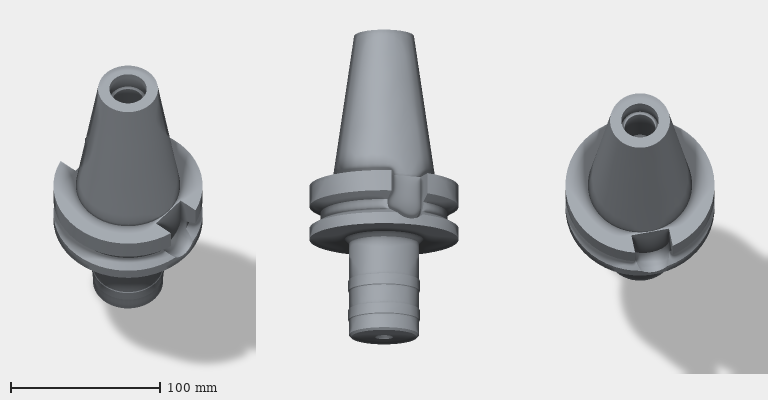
import cadquery as cq
import math


gauge_diameter = 69.85
taper_length = 101.8
taper_ratio = 7 / 24
gauge_radius = gauge_diameter / 2
taper_tip_radius = gauge_radius - taper_length * taper_ratio / 2

flange_radius = 100 / 2
flange_top = -1.5
flange_bottom = -38.0
groove_floor_radius = 85 / 2
groove_center = -22.9
groove_mouth_width = 15.0
groove_wall_angle = 30
groove_depth = flange_radius - groove_floor_radius
groove_wall_rise = groove_depth * math.tan(math.radians(groove_wall_angle))
groove_floor_width = groove_mouth_width - 2 * groove_wall_rise

slot_width = 25.7
slot_floor_distance = 35.3
slot_bottom = -34.0

nose_radius = 47.0 / 2
nose_bottom = -105.0
nose_chamfer = 1.5
collar_height = 3.0
collar_radius = nose_radius + collar_height

band_radius = 48.0 / 2
band_height = 8.0
band_bevel = band_radius - nose_radius
band_tops = (-66.0, -86.0)

through_diameter = 12.0
thread_diameter = 20.75
thread_chamfer = 0.15
thread_depth = 45.0
counterbore_diameter = 25.0
counterbore_depth = 13.0


def revolve_profile(points):
    """Revolve a closed outline of (radius, height) points about the Z axis."""
    return cq.Workplane("XZ").polyline(points).close().revolve(360, (0, 0), (0, 1))


def make_turned_body():
    """Revolve the half profile of shank, grooved flange and nose about Z."""
    groove_mouth_half = groove_mouth_width / 2
    groove_floor_half = groove_floor_width / 2
    profile = [
        (0, taper_length),
        (taper_tip_radius, taper_length),
        (gauge_radius, 0),
        (gauge_radius, flange_top),
        (flange_radius, flange_top),
        (flange_radius, groove_center + groove_mouth_half),
        (groove_floor_radius, groove_center + groove_floor_half),
        (groove_floor_radius, groove_center - groove_floor_half),
        (flange_radius, groove_center - groove_mouth_half),
        (flange_radius, flange_bottom),
        (collar_radius, flange_bottom),
        (nose_radius, flange_bottom - collar_height),
        (nose_radius, nose_bottom + nose_chamfer),
        (nose_radius - nose_chamfer, nose_bottom),
        (0, nose_bottom),
    ]
    return revolve_profile(profile)


def make_band(top):
    """Solid bevelled disc that stands slightly proud of the nose."""
    bottom = top - band_height
    profile = [
        (0, top),
        (nose_radius, top),
        (band_radius, top - band_bevel),
        (band_radius, bottom + band_bevel),
        (nose_radius, bottom),
        (0, bottom),
    ]
    return revolve_profile(profile)


def make_drive_slot(side):
    """Round-ended slot cutter, open at the flange top and rim; side is +1 or -1 along X."""
    slot_radius = slot_width / 2
    arc_center = slot_bottom + slot_radius
    return (
        cq.Workplane("YZ")
        .workplane(offset=side * slot_floor_distance)
        .moveTo(-slot_radius, flange_top)
        .lineTo(-slot_radius, arc_center)
        .threePointArc((0, slot_bottom), (slot_radius, arc_center))
        .lineTo(slot_radius, flange_top)
        .close()
        .extrude(side * flange_radius)
    )


def make_bore():
    """Stepped cutter for the counterbore, chamfered thread hole and through hole."""
    counterbore_floor = taper_length - counterbore_depth
    thread_floor = taper_length - thread_depth
    thread_radius = thread_diameter / 2
    profile = [
        (0, taper_length),
        (counterbore_diameter / 2, taper_length),
        (counterbore_diameter / 2, counterbore_floor),
        (thread_radius + thread_chamfer, counterbore_floor),
        (thread_radius, counterbore_floor - thread_chamfer),
        (thread_radius, thread_floor),
        (through_diameter / 2, thread_floor),
        (through_diameter / 2, nose_bottom),
        (0, nose_bottom),
    ]
    return revolve_profile(profile)


body = make_turned_body()
for band_top in band_tops:
    body = body.union(make_band(band_top))
for side in (1, -1):
    body = body.cut(make_drive_slot(side))

result = body.cut(make_bore())